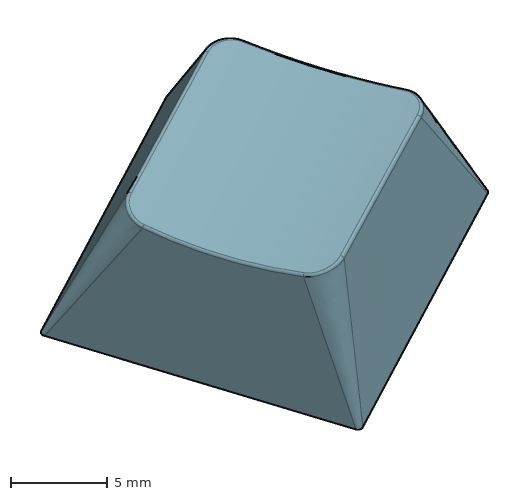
import cadquery as cq
import math

base_side = 18.0
base_corner_radius = 0.27

top_tilt = 1.2
loft_height = 7.56
top_width = 11.7
top_front = -5.49
top_back = 8.35
top_corner_radius = 1.8

dish_radius = 29.7
dish_floor_height = 6.57
rim_fillet = 0.2


def rounded_rectangle(width, depth, radius, center_y, height, tilt):
    sketch = cq.Sketch().rect(width, depth).vertices().fillet(radius)
    tilted_plane = cq.Location(cq.Vector(0, 0, height), cq.Vector(1, 0, 0), -tilt)
    return sketch.moved(tilted_plane * cq.Location(cq.Vector(0, center_y, 0)))


def make_body():
    base = rounded_rectangle(base_side, base_side, base_corner_radius, 0, 0, 0)
    top_depth = top_back - top_front
    top_center = (top_back + top_front) / 2
    top = rounded_rectangle(
        top_width, top_depth, top_corner_radius, top_center, loft_height, top_tilt
    )
    return cq.Workplane("XY").placeSketch(base, top).loft(ruled=True)


def make_dish_cutter():
    length = 2 * base_side
    cutter = cq.Workplane("XZ").circle(dish_radius).extrude(length / 2, both=True)
    axis_height = dish_floor_height + dish_radius / math.cos(math.radians(top_tilt))
    return cutter.rotate((0, 0, 0), (1, 0, 0), -top_tilt).translate((0, 0, axis_height))


body = make_body().cut(make_dish_cutter())
dish_face = body.faces("%CYLINDER")
result = dish_face.edges().fillet(rim_fillet)